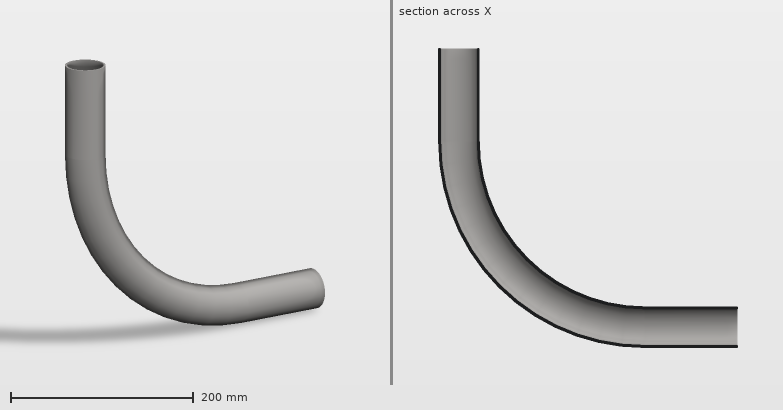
import cadquery as cq

overall_size = 327.0
outer_diameter = 44.5
inner_diameter = 40.2
straight_length = 101.7

bend_radius = overall_size - straight_length - outer_diameter / 2


def elbow(diameter):
    """Solid round bar: leg along Y, 90 degree bend, leg along Z."""
    horizontal_leg = cq.Workplane("XZ").circle(diameter / 2).extrude(-straight_length)
    bend = (
        cq.Workplane("XZ")
        .circle(diameter / 2)
        .revolve(90, (0, bend_radius, 0), (-1, bend_radius, 0))
    )
    vertical_leg = (
        cq.Workplane("XY", origin=(0, -bend_radius, bend_radius))
        .circle(diameter / 2)
        .extrude(straight_length)
    )
    return horizontal_leg.union(bend).union(vertical_leg)


result = elbow(outer_diameter).cut(elbow(inner_diameter))